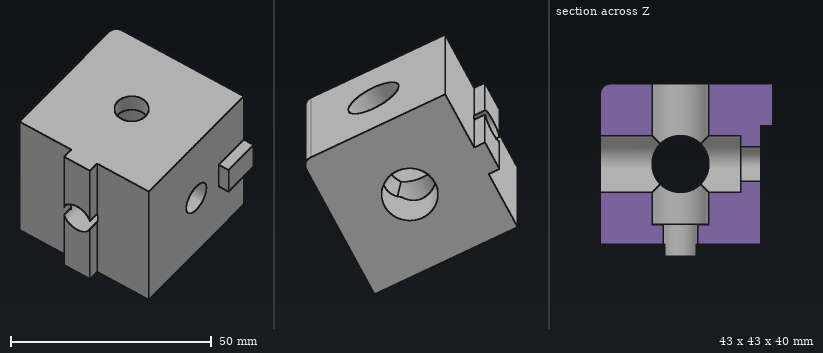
import cadquery as cq

side = 40.0
middle = side / 2
corner_radius = 2.5

key_height = 43.0 - side
key_width = 8.0
short_key_length = 10.58

bore_diameter = 8.5
counterbore_diameter = 14.0
seat_thickness = 5.0
counterbore_depth = side - seat_thickness


def cylinder(diameter, length, start, direction):
    """Solid cylinder running from a start point along a direction."""
    solid = cq.Solid.makeCylinder(diameter / 2, length, cq.Vector(*start), cq.Vector(*direction))
    return cq.Workplane(obj=solid)


body = cq.Workplane("XY").box(side, side, side, centered=False)
body = body.edges("|Z and <X and >Y").fillet(corner_radius)

front_key = cq.Workplane("XY").box(key_width, key_height, side, centered=False)
front_key = front_key.translate((middle - key_width / 2, -key_height, 0))

side_key = cq.Workplane("XY").box(key_height, short_key_length, key_width, centered=False)
side_key = side_key.translate((side, side - short_key_length, middle - key_width / 2))

result = body.union(front_key).union(side_key)

result = result.cut(cylinder(bore_diameter, side, (0, middle, middle), (1, 0, 0)))
result = result.cut(cylinder(bore_diameter, side + key_height, (middle, -key_height, middle), (0, 1, 0)))
result = result.cut(cylinder(bore_diameter, side, (middle, middle, 0), (0, 0, 1)))

counterbores = [
    ((0, middle, middle), (1, 0, 0)),
    ((middle, side, middle), (0, -1, 0)),
    ((middle, middle, 0), (0, 0, 1)),
]
for start, direction in counterbores:
    result = result.cut(cylinder(counterbore_diameter, counterbore_depth, start, direction))